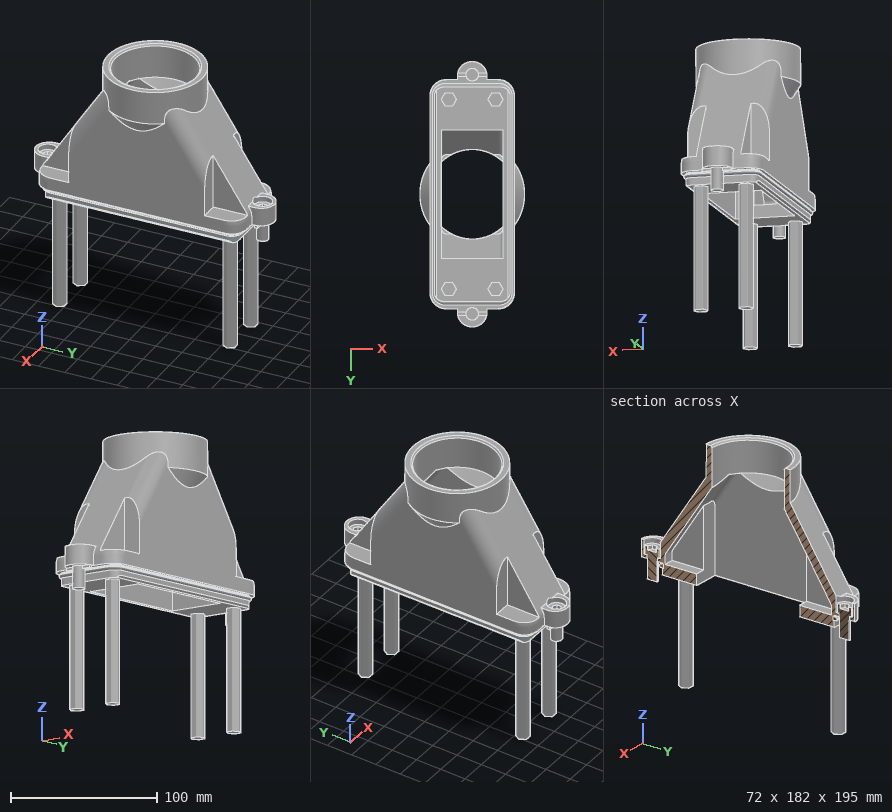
import cadquery as cq
import math


OVERALL_Y = 182.0
OVERALL_Z = 195.0

BODY_HALF_X = 29.0
BODY_HALF_Y = 78.5
BODY_ROUND = 11.3
WALL = 8.0
EAVE_Z = 9.8
COLLAR_RADIUS = 72.0 / 2
COLLAR_BASE_Z = 74.9
COLLAR_TOP_Z = 99.6
RIDGE_Z = 88.0
BORE_RADIUS = 30.6
BORE_CHAMFER_WIDTH = 1.2
BORE_CHAMFER_DEPTH = 1.4
BORE_BASE_Z = 73.7
FUNNEL_DEPTH = 6.5

RECESS_FLOOR_Z = 10.0
RECESS_INNER_X = 15.8
RECESS_INNER_Y = 51.9

PLUG_HALF_X = 26.0
PLUG_HALF_Y = 73.3
PLUG_HEIGHT = 9.0
PLUG_ROUND = 6.0
PLUG_BEVEL_WIDTH = 1.4
PLUG_BEVEL_HEIGHT = 1.8

SEAL_HALF_X = 27.3
SEAL_HALF_Y = 75.9
SEAL_ROUND = 8.5
SEAL_TOP_Z = -0.5
SEAL_HEIGHT = 3.1
SEAL_WIDTH = 3.5
SEAL_BEVEL = 1.2
SEAL_LOWER_ROUND = 1.8

BOSS_RADIUS = 20.5 / 2
BOSS_TOP_Z = 13.8
BOSS_CENTRE_Y = OVERALL_Y / 2 - BOSS_RADIUS
BOSS_INNER_Y = 71.2
LIP_HEIGHT = 2.0
LIP_THICKNESS = 2.3

SCREW_Y = 81.9
COUNTERBORE_RADIUS = 6.8
HEAD_RADIUS = 6.2
HEAD_TOP_Z = 10.0
HEAD_BASE_Z = 3.1
SHANK_RADIUS = 4.3
SHANK_END_Z = -15.5
SOCKET_FLATS = 6.0
SOCKET_DEPTH = 3.1

ROD_X = 16.0
ROD_Y = 65.0
ROD_FLATS = 9.0
ROD_ROUND = 0.5
ROD_END_Z = COLLAR_TOP_Z - OVERALL_Z

SLOPE = (COLLAR_BASE_Z - EAVE_Z) / (BODY_HALF_Y - COLLAR_RADIUS)
CAVITY_HALF_X = BODY_HALF_X - WALL
CAVITY_HALF_Y = BODY_HALF_Y - WALL
CAVITY_EAVE_Z = EAVE_Z - WALL * (math.hypot(1, SLOPE) - SLOPE)


def cylinder(radius, bottom, top, y=0):
    return cq.Workplane("XY", origin=(0, y, bottom)).circle(radius).extrude(top - bottom)


def box(half_x, half_y, bottom, top, y=0):
    return cq.Workplane("XY", origin=(0, y, bottom)).rect(2 * half_x, 2 * half_y).extrude(top - bottom)


def hexagon(flats, x, y, bottom, top):
    """Hexagonal prism with two of its corners on the X axis of its section."""
    across_corners = flats / math.cos(math.pi / 6)
    return cq.Workplane("XY", origin=(x, y, bottom)).polygon(6, across_corners).extrude(top - bottom)


def cone(top_radius, bottom_radius, bottom, top):
    return (
        cq.Workplane("XY", origin=(0, 0, bottom)).circle(bottom_radius)
        .workplane(offset=top - bottom).circle(top_radius).loft()
    )


def wedge(half_x, half_y, eave_z, top_z, edge_round):
    """House-shaped prism with sloped ends and rounded end corners."""
    top_half_y = half_y - (top_z - eave_z) / SLOPE
    solid = (
        cq.Workplane("YZ", origin=(-half_x, 0, 0))
        .polyline([
            (-half_y, 0), (half_y, 0), (half_y, eave_z),
            (top_half_y, top_z), (-top_half_y, top_z), (-half_y, eave_z),
        ])
        .close().extrude(2 * half_x)
    )
    middle_edges = "not (<Z or >Z)"
    solid = solid.edges("|X").edges(middle_edges).fillet(edge_round)
    return solid.faces("<X or >X").edges(middle_edges).fillet(edge_round)


def both_ends(solid):
    """Shape at the +Y end joined with its mirror image at the -Y end."""
    return solid.union(solid.mirror("XZ"))


def make_collar():
    """Round pipe socket, with a cone below it that blends into the flat sides."""
    skirt_radius = CAVITY_HALF_X
    skirt_bottom = COLLAR_BASE_Z - SLOPE * (COLLAR_RADIUS - skirt_radius)
    skirt = cone(COLLAR_RADIUS, skirt_radius, skirt_bottom, COLLAR_BASE_Z)
    return cylinder(COLLAR_RADIUS, COLLAR_BASE_Z, COLLAR_TOP_Z).union(skirt)


def make_corner_blocks(inner_x, inner_y, bottom):
    """Four upright blocks that fill the corners of the body outside the given X and Y."""
    size_x = BODY_HALF_X
    size_y = BODY_HALF_Y
    return (
        cq.Workplane("XY", origin=(0, 0, bottom))
        .rect(2 * inner_x + size_x, 2 * inner_y + size_y, forConstruction=True)
        .vertices().rect(size_x, size_y).extrude(COLLAR_BASE_Z - bottom)
    )


def make_boss():
    """Lug for the screw at the +Y end, with a thin locating lip under it."""
    lug = cylinder(BOSS_RADIUS, 0, BOSS_TOP_Z, BOSS_CENTRE_Y)
    root_half_y = (BOSS_CENTRE_Y - BOSS_INNER_Y) / 2
    root = box(BOSS_RADIUS, root_half_y, 0, BOSS_TOP_Z, BOSS_CENTRE_Y - root_half_y)
    lip_y = BOSS_CENTRE_Y + LIP_THICKNESS / 2
    lip = box(BOSS_RADIUS, LIP_THICKNESS / 2, -LIP_HEIGHT, 0, lip_y)
    return lug.union(root).union(lip)


def make_screw_hole():
    """Counterbore, open upwards through the slope, and clearance hole at the +Y end."""
    counterbore = cylinder(COUNTERBORE_RADIUS, HEAD_BASE_Z, COLLAR_BASE_Z, SCREW_Y)
    return counterbore.union(cylinder(SHANK_RADIUS, SHANK_END_Z, HEAD_BASE_Z, SCREW_Y))


def make_plug():
    """Block under the flange, bevelled along its long lower edges."""
    plug = box(PLUG_HALF_X, PLUG_HALF_Y, -PLUG_HEIGHT, 0).edges("|Z").fillet(PLUG_ROUND)
    half_x = PLUG_HALF_X
    bevel_start = PLUG_HALF_X - PLUG_BEVEL_WIDTH
    bevelled = (
        cq.Workplane("XZ")
        .polyline([
            (-half_x, 0), (half_x, 0), (half_x, PLUG_BEVEL_HEIGHT - PLUG_HEIGHT),
            (bevel_start, -PLUG_HEIGHT), (-bevel_start, -PLUG_HEIGHT),
            (-half_x, PLUG_BEVEL_HEIGHT - PLUG_HEIGHT),
        ])
        .close().extrude(PLUG_HALF_Y, both=True)
    )
    return plug.intersect(bevelled)


def make_passage():
    """Everything hollow inside: bore, funnel, cavity and the throat through the plug."""
    bore = cylinder(BORE_RADIUS, BORE_BASE_Z, COLLAR_TOP_Z)
    mouth = cone(
        BORE_RADIUS + BORE_CHAMFER_WIDTH, BORE_RADIUS, COLLAR_TOP_Z - BORE_CHAMFER_DEPTH, COLLAR_TOP_Z
    )
    funnel = cone(BORE_RADIUS, CAVITY_HALF_X, BORE_BASE_Z - FUNNEL_DEPTH, BORE_BASE_Z)
    cavity = wedge(CAVITY_HALF_X, CAVITY_HALF_Y, CAVITY_EAVE_Z, BORE_BASE_Z, BODY_ROUND - WALL)
    solid_corners_x = RECESS_INNER_X - WALL
    solid_corners_y = RECESS_INNER_Y - WALL
    cavity = cavity.cut(make_corner_blocks(solid_corners_x, solid_corners_y, 0))
    throat = box(CAVITY_HALF_X, solid_corners_y, -PLUG_HEIGHT, 0)
    bore_in_end_walls = cylinder(BORE_RADIUS, 0, BORE_BASE_Z).intersect(
        box(CAVITY_HALF_X, BORE_RADIUS, 0, BORE_BASE_Z)
    )
    passage = bore.union(mouth).union(funnel).union(bore_in_end_walls)
    return passage.union(cavity).union(throat)


def make_seal():
    """Ring in a groove around the plug, bevelled above and rounded below."""
    bottom = SEAL_TOP_Z - SEAL_HEIGHT
    outline = box(SEAL_HALF_X, SEAL_HALF_Y, bottom, SEAL_TOP_Z).edges("|Z").fillet(SEAL_ROUND)
    outline = outline.faces(">Z").edges().chamfer(SEAL_BEVEL)
    outline = outline.faces("<Z").edges().fillet(SEAL_LOWER_ROUND)
    hole = box(SEAL_HALF_X - SEAL_WIDTH, SEAL_HALF_Y - SEAL_WIDTH, bottom, SEAL_TOP_Z)
    return outline.cut(hole.edges("|Z").fillet(SEAL_ROUND - SEAL_WIDTH))


def make_housing(seal):
    housing = wedge(BODY_HALF_X, BODY_HALF_Y, EAVE_Z, RIDGE_Z, BODY_ROUND)
    housing = housing.cut(make_corner_blocks(RECESS_INNER_X, RECESS_INNER_Y, RECESS_FLOOR_Z))
    housing = housing.union(make_collar())
    housing = housing.union(both_ends(make_boss())).union(make_plug())
    housing = housing.cut(make_passage())
    screw_hole = make_screw_hole()
    return housing.cut(screw_hole).cut(screw_hole.mirror("XZ")).cut(seal)


def make_screw():
    """Socket-head screw at the +Y end."""
    head = cylinder(HEAD_RADIUS, HEAD_BASE_Z, HEAD_TOP_Z, SCREW_Y)
    shank = cylinder(SHANK_RADIUS, SHANK_END_Z, HEAD_BASE_Z, SCREW_Y)
    socket = hexagon(SOCKET_FLATS, 0, SCREW_Y, HEAD_TOP_Z - SOCKET_DEPTH, HEAD_TOP_Z)
    socket = socket.rotate((0, SCREW_Y, 0), (0, SCREW_Y, 1), 90)
    return head.union(shank).cut(socket)


def make_rod(x, y):
    """Hexagonal rod that hangs from the underside of the plug."""
    return hexagon(ROD_FLATS, x, y, ROD_END_Z, -PLUG_HEIGHT).edges("|Z").fillet(ROD_ROUND)


seal = make_seal()
housing = make_housing(seal)
screw = make_screw()
screws = [screw, screw.mirror("XZ")]
rods = [make_rod(x, y) for x in (-ROD_X, ROD_X) for y in (-ROD_Y, ROD_Y)]

result = cq.Compound.makeCompound(
    [housing.val(), seal.val(), *[body.val() for body in screws], *[body.val() for body in rods]]
)